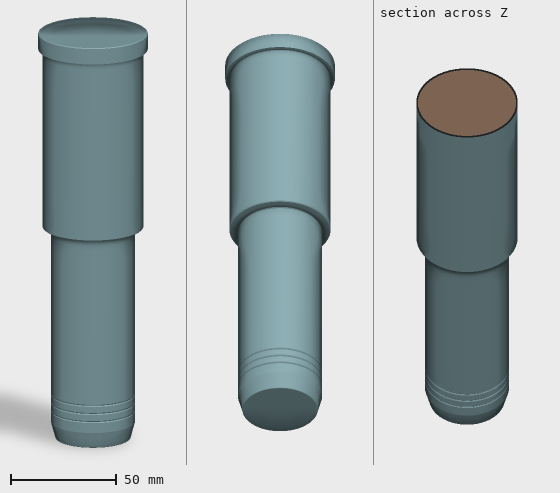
import cadquery as cq
import math

total_length = 200.0
head_diameter = 52.0
head_height = 8.0
body_diameter = 48.0
body_length = 88.0
pin_diameter = 40.0
edge_chamfer = 0.5

undercut_depth = 0.2
undercut_height = 0.5

neck_depth = 0.5
neck_height = 1.2

taper_height = 8.0
taper_angle = 15.0
tip_fillet = 0.5

groove_count = 3
groove_width = 1.0
groove_depth = 0.5
groove_pitch = 4.0
lowest_groove_z = 13.5

head_bottom = total_length - head_height
body_bottom = head_bottom - body_length
pin_radius = pin_diameter / 2
tip_radius = pin_radius - taper_height * math.tan(math.radians(taper_angle))


def cylinder(diameter, bottom, top):
    """Cylinder about Z between two heights."""
    return cq.Workplane("XY").workplane(offset=bottom).circle(diameter / 2).extrude(top - bottom)


def ring(radius, depth, bottom, height):
    """Square-sided cutter that reduces a radius by depth over a short height."""
    return (
        cq.Workplane("XY")
        .workplane(offset=bottom)
        .circle(radius)
        .circle(radius - depth)
        .extrude(height)
    )


def vee_groove(center_z):
    """Ring cutter of triangular section, pointing into the pin at a given height."""
    return (
        cq.Workplane("XZ")
        .moveTo(pin_radius, center_z - groove_width / 2)
        .lineTo(pin_radius - groove_depth, center_z)
        .lineTo(pin_radius, center_z + groove_width / 2)
        .close()
        .revolve(360, (0, 0, 0), (0, 1, 0))
    )


head = cylinder(head_diameter, head_bottom, total_length).edges(">Z").chamfer(edge_chamfer)
body = cylinder(body_diameter, body_bottom, head_bottom).edges("<Z").chamfer(edge_chamfer)

pin = (
    cq.Workplane("XZ")
    .moveTo(0, 0)
    .lineTo(tip_radius, 0)
    .lineTo(pin_radius, taper_height)
    .lineTo(pin_radius, body_bottom)
    .lineTo(0, body_bottom)
    .close()
    .revolve(360, (0, 0, 0), (0, 1, 0))
    .faces("<Z")
    .edges()
    .fillet(tip_fillet)
)

pin = pin.cut(ring(pin_radius, neck_depth, body_bottom - neck_height, neck_height))
for index in range(groove_count):
    pin = pin.cut(vee_groove(lowest_groove_z + index * groove_pitch))

undercut = ring(body_diameter / 2, undercut_depth, head_bottom - undercut_height, undercut_height)

result = head.union(body).cut(undercut).union(pin)